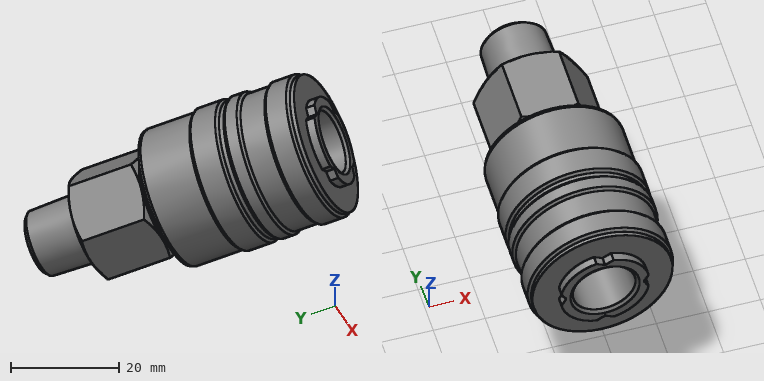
import cadquery as cq
import math

TOTAL_LENGTH = 61.0

SLEEVE_RADIUS = 13.5
SLEEVE_FRONT = 1.7
SLEEVE_BACK = 33.8
SLEEVE_EDGE_LENGTH = 0.55
SLEEVE_EDGE_DEPTH = 0.2
BAND_HEIGHT = 0.52
BAND_RADIUS = SLEEVE_RADIUS + BAND_HEIGHT
BAND_BEVEL = 0.55
BANDS = [(2.55, 7.8), (12.7, 16.2), (17.15, 23.25)]

NOSE_RADIUS = 8.55
NOTCH_HALF_WIDTH = 1.65
NOTCH_ROOT_RADIUS = 7.5
NOTCH_COUNT = 4

NECK_RADIUS = 8.95
HEX_FRONT = 35.55
HEX_BACK = 50.1
HEX_FLATS = 19.05
HEX_CORNER_RADIUS = HEX_FLATS / math.sqrt(3)
HEX_END_RADIUS = 9.45
HEX_BEVEL_ANGLE = math.radians(30)
HEX_BEVEL_LENGTH = (HEX_CORNER_RADIUS - HEX_END_RADIUS) * math.tan(HEX_BEVEL_ANGLE)

THREAD_ROOT_RADIUS = 6.7
THREAD_CHAMFER = 0.8
THREAD_TAPER = 1 / 32

SOCKET_RADIUS = 6.05
SOCKET_CHAMFER = 0.6
SOCKET_DEPTH = 24.4
BORE_RADIUS = 3.5


def revolve_profile(points):
    """Turn a closed (radius, Y) outline about the Y axis."""
    return cq.Workplane("XY").polyline(points).close().revolve(360, (0, 0, 0), (0, 1, 0))


def make_cylinder(radius, start, end):
    return revolve_profile([(0, start), (radius, start), (radius, end), (0, end)])


def make_sleeve():
    points = [(0, SLEEVE_FRONT), (SLEEVE_RADIUS, SLEEVE_FRONT)]
    for start, end in BANDS:
        points += [
            (SLEEVE_RADIUS, start),
            (BAND_RADIUS, start + BAND_BEVEL),
            (BAND_RADIUS, end - BAND_BEVEL),
            (SLEEVE_RADIUS, end),
        ]
    points += [
        (SLEEVE_RADIUS, SLEEVE_BACK - SLEEVE_EDGE_LENGTH),
        (SLEEVE_RADIUS - SLEEVE_EDGE_DEPTH, SLEEVE_BACK),
        (0, SLEEVE_BACK),
    ]
    return revolve_profile(points)


def make_nose():
    nose = make_cylinder(NOSE_RADIUS, 0, SLEEVE_FRONT)
    rim_height = math.sqrt(NOSE_RADIUS**2 - NOTCH_HALF_WIDTH**2)
    side_slope = NOTCH_HALF_WIDTH / (rim_height - NOTCH_ROOT_RADIUS)
    mouth_half_width = side_slope * (NOSE_RADIUS - NOTCH_ROOT_RADIUS)
    notch = (
        cq.Workplane("XZ")
        .moveTo(0, NOTCH_ROOT_RADIUS)
        .lineTo(mouth_half_width, NOSE_RADIUS)
        .lineTo(-mouth_half_width, NOSE_RADIUS)
        .close()
        .extrude(-SLEEVE_FRONT)
    )
    for index in range(NOTCH_COUNT):
        angle = index * 360 / NOTCH_COUNT
        nose = nose.cut(notch.rotate((0, 0, 0), (0, 1, 0), angle))
    return nose


def make_hexagon():
    """Hexagon with corners on X, both ends turned to 30 degree bevels."""
    prism = (
        cq.Workplane("XZ", origin=(0, HEX_FRONT, 0))
        .polygon(6, 2 * HEX_CORNER_RADIUS)
        .extrude(HEX_FRONT - HEX_BACK)
    )
    turned_envelope = revolve_profile([
        (0, HEX_FRONT),
        (HEX_END_RADIUS, HEX_FRONT),
        (HEX_CORNER_RADIUS, HEX_FRONT + HEX_BEVEL_LENGTH),
        (HEX_CORNER_RADIUS, HEX_BACK - HEX_BEVEL_LENGTH),
        (HEX_END_RADIUS, HEX_BACK),
        (0, HEX_BACK),
    ])
    return prism.intersect(turned_envelope)


def make_thread():
    """Plain tapered shank standing in for the pipe thread."""
    chamfer_start = TOTAL_LENGTH - THREAD_CHAMFER
    tip_radius = THREAD_ROOT_RADIUS - THREAD_TAPER * (chamfer_start - HEX_BACK)
    return revolve_profile([
        (0, HEX_BACK),
        (THREAD_ROOT_RADIUS, HEX_BACK),
        (tip_radius, chamfer_start),
        (tip_radius - THREAD_CHAMFER, TOTAL_LENGTH),
        (0, TOTAL_LENGTH),
    ])


def make_bore():
    return revolve_profile([
        (0, 0),
        (SOCKET_RADIUS + SOCKET_CHAMFER, 0),
        (SOCKET_RADIUS, SOCKET_CHAMFER),
        (SOCKET_RADIUS, SOCKET_DEPTH),
        (BORE_RADIUS, SOCKET_DEPTH),
        (BORE_RADIUS, TOTAL_LENGTH),
        (0, TOTAL_LENGTH),
    ])


result = (
    make_sleeve()
    .union(make_nose())
    .union(make_cylinder(NECK_RADIUS, SLEEVE_BACK, HEX_FRONT))
    .union(make_hexagon())
    .union(make_thread())
    .cut(make_bore())
)